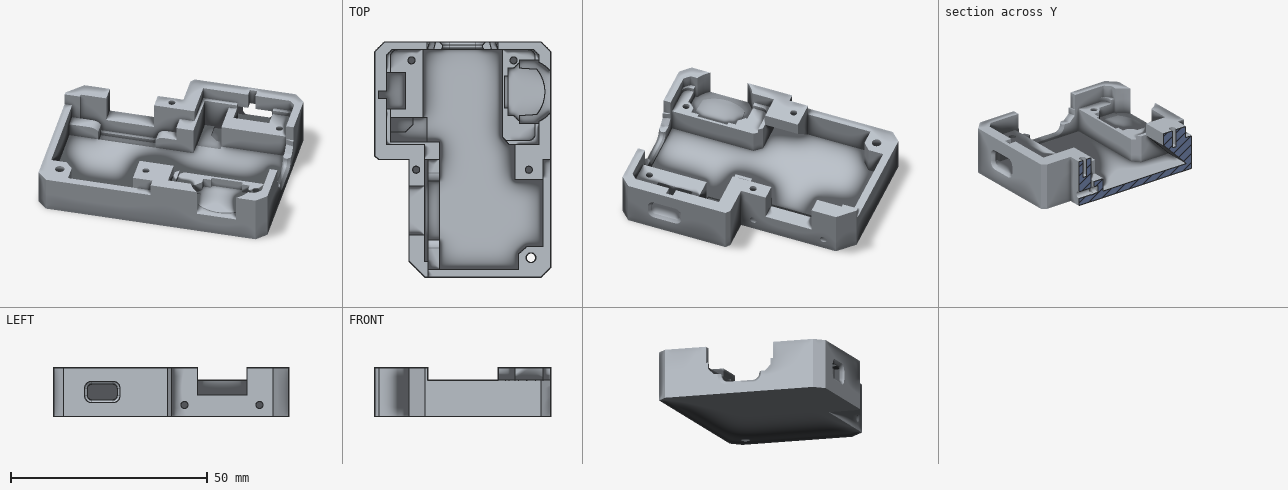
import cadquery as cq

LENGTH_X = 45.0
LENGTH_Y = 60.0
HEIGHT = 12.55
WALL = 2.0
FLOOR_Z = 2.0
RIM_Z = 9.35
BOARD_Z = 8.3
STEP_Y = 30.0
ARM_X = 8.75
CORNER = 2.5
STEP_CORNER_X = 1.15
STEP_CORNER_Y = 0.9
ARM_CORNER = 4.1
THROUGH = 0.6

REAR_Y = LENGTH_Y - WALL
RIGHT_X = LENGTH_X - WALL
SIDE_WALL = 3.0
UPPER_RIGHT_X = LENGTH_X - SIDE_WALL
UPPER_FRONT_Y = 33.85
UPPER_CORNER = 1.45
RIM_WIDTH = 1.0
BOARD_LEFT_X = SIDE_WALL + RIM_WIDTH
BOARD_RIGHT_X = UPPER_RIGHT_X - RIM_WIDTH
BOARD_FRONT_Y = UPPER_FRONT_Y + RIM_WIDTH
BOARD_RADIUS = 1.8
ARM_INNER_X = 12.8
LOW_WALL_X = 13.6
BAY_X = 16.6
SHELF_REAR_Y = 34.5
LEFT_BLOCK_X = 12.3
LEFT_BLOCK_Y = 40.8
RIGHT_BLOCK_X = 32.6
RIGHT_BLOCK_CORNER_X = 1.75
RIGHT_BLOCK_CORNER_Y = 2.0
BOSS_X = 36.8
BOSS_Y = 7.85
BOSS_CORNER_X = 2.1
BOSS_CORNER_Y = 1.85
POST_X = 35.8
POST_Y = 24.9

SCREW_D = 1.8
SCREW_DEPTH = 4.8
BLOCK_SCREW_Y = 55.3
BLOCK_SCREW_XS = (9.4, 35.45)
POST_SCREW_Y = 27.4
POST_SCREW_XS = (10.6, 39.35)
BOSS_HOLE_D = 2.4
BOSS_HOLE_X = 39.9
BOSS_HOLE_Y = 5.0

SILL_Z = 5.5
WINDOW_Y = (10.75, 23.3)
SLOT_FRONT_Y = 4.1
LUG_YS = (7.5, 26.65)
LUG_Z = 3.0
LUG_D = 5.0
LUG_HOLE_DEPTH = 6.0
LUG_REACH = 2.05
BAY_FLOOR_Z = 1.0

PORT_Y = 47.6
PORT_Z = 6.3
PORT_WIDTH = 7.6
PORT_HEIGHT = 3.95
PORT_RADIUS = 1.1
PORT_CHAMFER = 0.7
POCKET_LENGTH = 9.35
POCKET_X = 7.85
POCKET_Z = PORT_Z - PORT_HEIGHT / 2
KEY_X = 1.0
KEY_Y = 46.55
KEY_WIDTH = 1.9
FLANGE_LENGTH = 11.4

GAP_X = 22.45
GAP_HALF = 9.05
GAP_SEAT_HALF = 8.45
GAP_FLARE = 0.5
GAP_SEAT_Z = 8.35
GAP_BEVEL = 1.55
GAP_FLAT_Z = 5.2
TROUGH_Z = 3.2
TROUGH_WIDTH = 10.2
TROUGH_HEIGHT = 4.8
TROUGH_RADIUS = 1.75
TROUGH_OUTER_CHAMFER = 0.8
TROUGH_INNER_CHAMFER = 0.5

WHEEL_Y = 47.3
WHEEL_FLOOR_Z = 5.5
WHEEL_X = 34.0
WHEEL_STEP_X = 37.0
WHEEL_HALF = 8.1
WHEEL_SHOULDER_HALF = 7.55
WHEEL_NECK_HALF = 6.05
WHEEL_NECK_X = 35.5
WHEEL_CIRCLE_X = 38.4
WHEEL_CIRCLE_R = 8.35
WHEEL_RELIEF_X = 33.2
WHEEL_RELIEF_HALF = 4.1
PAD_THICKNESS = 0.25
PAD_SHOULDER_X = 41.4
PAD_SHOULDER_HALF = 5.75
PAD_TIP_X = 43.45

RECESS_X = 13.4
RECESS_Z = 1.5
SUMP_X = 9.8
SUMP_Y = 37.0
SUMP_CORNER = 1.9
SUMP_Z = 1.0


def prism(points, bottom, top):
    """Upright prism over a polygon in X and Y."""
    return cq.Workplane("XY").workplane(offset=bottom).polyline(points).close().extrude(top - bottom)


def box(x0, x1, y0, y1, z0, z1):
    """Block between two limits on each axis."""
    return cq.Workplane("XY").box(x1 - x0, y1 - y0, z1 - z0, centered=False).translate((x0, y0, z0))


def drill(x, y, diameter, bottom):
    """Upright hole from the given bottom height out through the top."""
    depth = HEIGHT + THROUGH - bottom
    return cq.Workplane("XY", origin=(x, y, bottom)).circle(diameter / 2).extrude(depth)


def outer_block():
    outline = [
        (STEP_CORNER_X, STEP_Y),
        (0, STEP_Y + STEP_CORNER_Y),
        (0, LENGTH_Y - CORNER),
        (CORNER, LENGTH_Y),
        (LENGTH_X - CORNER, LENGTH_Y),
        (LENGTH_X, LENGTH_Y - CORNER),
        (LENGTH_X, CORNER),
        (LENGTH_X - CORNER, 0),
        (ARM_X + ARM_CORNER, 0),
        (ARM_X, ARM_CORNER),
        (ARM_X, STEP_Y),
    ]
    return prism(outline, 0, HEIGHT)


def low_walls():
    """Space above the low front wall and the low front half of the right wall."""
    front = box(LOW_WALL_X, LENGTH_X + THROUGH, -THROUGH, POST_Y, RIM_Z, HEIGHT + THROUGH)
    right = box(RIGHT_X, LENGTH_X + THROUGH, -THROUGH, STEP_Y, RIM_Z, HEIGHT + THROUGH)
    return front.union(right)


def upper_cavity():
    outline = [
        (SIDE_WALL, UPPER_FRONT_Y),
        (SIDE_WALL, REAR_Y - UPPER_CORNER),
        (SIDE_WALL + UPPER_CORNER, REAR_Y),
        (UPPER_RIGHT_X - UPPER_CORNER, REAR_Y),
        (UPPER_RIGHT_X, REAR_Y - UPPER_CORNER),
        (UPPER_RIGHT_X, UPPER_FRONT_Y),
        (POST_X, UPPER_FRONT_Y),
        (POST_X, WALL),
        (LOW_WALL_X, WALL),
        (LOW_WALL_X, SLOT_FRONT_Y),
        (ARM_INNER_X, SLOT_FRONT_Y),
        (ARM_INNER_X, UPPER_FRONT_Y),
    ]
    return prism(outline, RIM_Z, HEIGHT + THROUGH)


def board_seat():
    seat = box(BOARD_LEFT_X, BOARD_RIGHT_X, BOARD_FRONT_Y, REAR_Y, BOARD_Z, RIM_Z)
    return seat.edges("|Z").edges(">X or (<X and >Y)").fillet(BOARD_RADIUS)


def lower_cavity():
    """Space between the inner blocks, down to the floor."""
    outline = [
        (BAY_X, WALL),
        (BAY_X, SHELF_REAR_Y),
        (BOARD_LEFT_X, SHELF_REAR_Y),
        (BOARD_LEFT_X, LEFT_BLOCK_Y),
        (LEFT_BLOCK_X, LEFT_BLOCK_Y),
        (LEFT_BLOCK_X, REAR_Y),
        (RIGHT_BLOCK_X, REAR_Y),
        (RIGHT_BLOCK_X, UPPER_FRONT_Y + RIGHT_BLOCK_CORNER_Y),
        (RIGHT_BLOCK_X + RIGHT_BLOCK_CORNER_X, UPPER_FRONT_Y),
        (RIGHT_X, UPPER_FRONT_Y),
        (RIGHT_X, BOSS_Y),
        (BOSS_X + BOSS_CORNER_X, BOSS_Y),
        (BOSS_X, BOSS_Y - BOSS_CORNER_Y),
        (BOSS_X, WALL),
    ]
    return prism(outline, FLOOR_Z, RIM_Z)


def floor_recess():
    recess = box(BOARD_LEFT_X, RECESS_X, SHELF_REAR_Y, LEFT_BLOCK_Y, RECESS_Z, FLOOR_Z)
    sump = [
        (BOARD_LEFT_X, SUMP_Y),
        (BOARD_LEFT_X, LEFT_BLOCK_Y),
        (SUMP_X, LEFT_BLOCK_Y),
        (SUMP_X, SUMP_Y + SUMP_CORNER),
        (SUMP_X - SUMP_CORNER, SUMP_Y),
    ]
    return recess.union(prism(sump, SUMP_Z, FLOOR_Z))


def post_gusset():
    """Post on the right wall, its underside sloping down to the wall at 45 degrees."""
    reach = RIGHT_X - POST_X
    return (
        cq.Workplane("XZ", origin=(0, POST_Y, 0))
        .polyline([(POST_X, HEIGHT), (POST_X, FLOOR_Z + reach), (RIGHT_X, FLOOR_Z), (RIGHT_X, HEIGHT)])
        .close()
        .extrude(POST_Y - UPPER_FRONT_Y)
    )


def arm_bay():
    """Slot behind the arm wall and the sunk bay between the two lugs."""
    slot = box(ARM_INNER_X, LOW_WALL_X, SLOT_FRONT_Y, STEP_Y, FLOOR_Z, RIM_Z)
    above_lugs = box(LOW_WALL_X, BAY_X, WALL, STEP_Y, LUG_Z + LUG_D / 2, RIM_Z)
    front_lug_y, rear_lug_y = LUG_YS
    between = box(LOW_WALL_X, BAY_X, front_lug_y, rear_lug_y, BAY_FLOOR_Z, RIM_Z)
    for axis_y, side in ((front_lug_y, 1), (rear_lug_y, -1)):
        end_y = axis_y + side * LUG_REACH
        near_y = min(axis_y, end_y)
        far_y = max(axis_y, end_y)
        round_lug = (
            cq.Workplane("YZ", origin=(LOW_WALL_X, 0, 0))
            .center(axis_y, LUG_Z)
            .circle(LUG_D / 2)
            .extrude(BAY_X - LOW_WALL_X)
        )
        foot = box(LOW_WALL_X, BAY_X, near_y, far_y, 0, LUG_Z)
        lug_end = box(LOW_WALL_X, BAY_X, near_y, far_y, 0, HEIGHT)
        between = between.cut(round_lug.union(foot).intersect(lug_end))
    return slot.union(above_lugs).union(between)


def arm_window():
    return box(ARM_X - THROUGH, ARM_INNER_X, *WINDOW_Y, SILL_Z, HEIGHT + THROUGH)


def lug_holes():
    return (
        cq.Workplane("YZ", origin=(ARM_X, 0, 0))
        .pushPoints([(axis_y, LUG_Z) for axis_y in LUG_YS])
        .circle(SCREW_D / 2)
        .extrude(LUG_HOLE_DEPTH)
    )


def rounded_outline(plane, width, height, radius):
    return cq.Workplane(plane).sketch().rect(width, height).vertices().fillet(radius).finalize()


def port_flare(plane, width, height, radius, chamfer):
    """Tapered mouth that widens by the chamfer at the plane and narrows along its normal."""
    wide = rounded_outline(plane, width + 2 * chamfer, height + 2 * chamfer, radius + chamfer)
    return wide.extrude(chamfer, taper=45)


def side_port():
    """Left wall port with its flared mouth, the connector pocket and the key slot."""
    mouth = cq.Plane(origin=(0, PORT_Y, PORT_Z), xDir=(0, 1, 0), normal=(1, 0, 0))
    bore = rounded_outline(mouth, PORT_WIDTH, PORT_HEIGHT, PORT_RADIUS).extrude(POCKET_X)
    flare = port_flare(mouth, PORT_WIDTH, PORT_HEIGHT, PORT_RADIUS, PORT_CHAMFER)
    pocket_half = POCKET_LENGTH / 2
    pocket = box(SIDE_WALL, POCKET_X, PORT_Y - pocket_half, PORT_Y + pocket_half, POCKET_Z, RIM_Z)
    flange_half = FLANGE_LENGTH / 2
    flange = box(KEY_X, SIDE_WALL, PORT_Y - flange_half, PORT_Y + flange_half, POCKET_Z, BOARD_Z)
    key_half = KEY_WIDTH / 2
    key = box(KEY_X, SIDE_WALL, KEY_Y - key_half, KEY_Y + key_half, POCKET_Z, HEIGHT + THROUGH)
    return bore.union(flare).union(pocket).union(flange).union(key)


def seat_profile(half):
    return [
        (-half, GAP_SEAT_Z),
        (-half, GAP_FLAT_Z + GAP_BEVEL),
        (GAP_BEVEL - half, GAP_FLAT_Z),
        (half - GAP_BEVEL, GAP_FLAT_Z),
        (half, GAP_FLAT_Z + GAP_BEVEL),
        (half, GAP_SEAT_Z),
    ]


def rear_port():
    """Gap in the rear wall, with a bevelled seat and a rounded trough below it."""
    gap = box(GAP_X - GAP_HALF, GAP_X + GAP_HALF, REAR_Y, LENGTH_Y, GAP_SEAT_Z, HEIGHT)
    seat = (
        cq.Workplane("XZ", origin=(GAP_X, LENGTH_Y, 0))
        .polyline(seat_profile(GAP_SEAT_HALF))
        .close()
        .workplane(offset=WALL)
        .polyline(seat_profile(GAP_SEAT_HALF + GAP_FLARE))
        .close()
        .loft(ruled=True)
    )
    centre_z = TROUGH_Z + TROUGH_HEIGHT / 2
    outside = cq.Plane(origin=(GAP_X, LENGTH_Y, centre_z), xDir=(1, 0, 0), normal=(0, -1, 0))
    inside = cq.Plane(origin=(GAP_X, REAR_Y, centre_z), xDir=(1, 0, 0), normal=(0, 1, 0))
    trough_size = (TROUGH_WIDTH, TROUGH_HEIGHT, TROUGH_RADIUS)
    trough = rounded_outline(outside, *trough_size).extrude(WALL)
    outer_mouth = port_flare(outside, *trough_size, TROUGH_OUTER_CHAMFER)
    inner_mouth = port_flare(inside, *trough_size, TROUGH_INNER_CHAMFER)
    return gap.union(seat).union(trough).union(outer_mouth).union(inner_mouth)


def wheel_pocket():
    """Pocket in the right block that opens through the right wall along a round cut."""
    half_outline = [
        (WHEEL_X, WHEEL_NECK_HALF),
        (WHEEL_NECK_X, WHEEL_NECK_HALF),
        (WHEEL_STEP_X, WHEEL_SHOULDER_HALF),
        (WHEEL_STEP_X, WHEEL_HALF),
        (UPPER_RIGHT_X, WHEEL_HALF),
    ]
    outline = [(x, WHEEL_Y + half) for x, half in half_outline]
    outline += [(x, WHEEL_Y - half) for x, half in reversed(half_outline)]
    height = HEIGHT - WHEEL_FLOOR_Z
    circle = (
        cq.Workplane("XY", origin=(WHEEL_CIRCLE_X, WHEEL_Y, WHEEL_FLOOR_Z))
        .circle(WHEEL_CIRCLE_R)
        .extrude(height)
        .intersect(box(UPPER_RIGHT_X, WHEEL_CIRCLE_X + WHEEL_CIRCLE_R, 0, LENGTH_Y, 0, HEIGHT))
    )
    relief = box(
        WHEEL_RELIEF_X,
        WHEEL_X,
        WHEEL_Y - WHEEL_RELIEF_HALF,
        WHEEL_Y + WHEEL_RELIEF_HALF,
        WHEEL_FLOOR_Z + PAD_THICKNESS,
        BOARD_Z,
    )
    return prism(outline, WHEEL_FLOOR_Z, HEIGHT).union(circle).union(relief)


def wheel_pad():
    """Thin pad with a round right end that fills the left part of the wheel pocket."""
    return (
        cq.Workplane("XY", origin=(0, WHEEL_Y, WHEEL_FLOOR_Z))
        .moveTo(WHEEL_X, -WHEEL_NECK_HALF)
        .lineTo(WHEEL_NECK_X, -WHEEL_NECK_HALF)
        .lineTo(WHEEL_STEP_X, -WHEEL_SHOULDER_HALF)
        .lineTo(WHEEL_STEP_X, -WHEEL_NECK_HALF)
        .lineTo(PAD_SHOULDER_X, -PAD_SHOULDER_HALF)
        .threePointArc((PAD_TIP_X, 0), (PAD_SHOULDER_X, PAD_SHOULDER_HALF))
        .lineTo(WHEEL_STEP_X, WHEEL_NECK_HALF)
        .lineTo(WHEEL_STEP_X, WHEEL_SHOULDER_HALF)
        .lineTo(WHEEL_NECK_X, WHEEL_NECK_HALF)
        .lineTo(WHEEL_X, WHEEL_NECK_HALF)
        .close()
        .extrude(PAD_THICKNESS)
    )


def screw_holes():
    holes = drill(BOSS_HOLE_X, BOSS_HOLE_Y, BOSS_HOLE_D, -THROUGH)
    for x in BLOCK_SCREW_XS:
        holes = holes.union(drill(x, BLOCK_SCREW_Y, SCREW_D, BOARD_Z - SCREW_DEPTH))
    for x in POST_SCREW_XS:
        holes = holes.union(drill(x, POST_SCREW_Y, SCREW_D, HEIGHT - SCREW_DEPTH))
    return holes


def make_housing():
    housing = outer_block()
    for space in (low_walls(), upper_cavity(), board_seat(), lower_cavity(), floor_recess(), arm_bay()):
        housing = housing.cut(space)
    housing = housing.union(post_gusset())
    for opening in (arm_window(), lug_holes(), side_port(), rear_port(), wheel_pocket(), screw_holes()):
        housing = housing.cut(opening)
    return housing


housing = make_housing()
pad = wheel_pad()

result = cq.Compound.makeCompound([*housing.vals(), *pad.vals()])